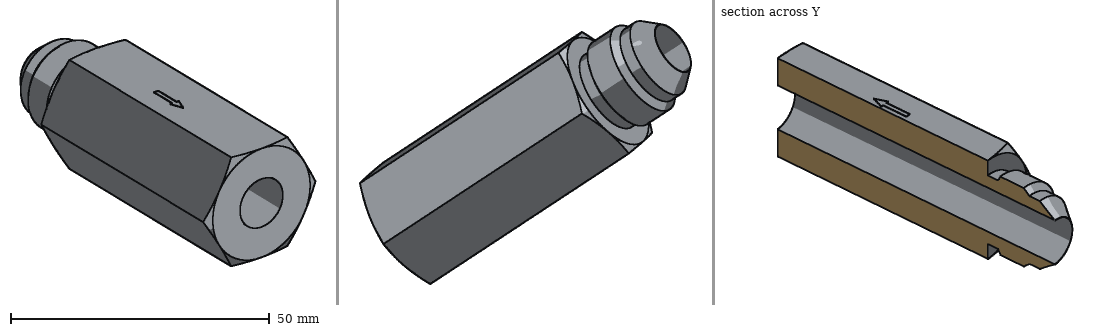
import cadquery as cq
import math

total_length = 69.09
across_flats = 23.8
nose_length = 16.7
bore_diameter = 10.49

tip_diameter = 10.7
land_diameter = 16.48
collar_diameter = 19.05
neck_diameter = 16.69
cone_length = 3.77
land_end = 6.35
collar_start = 7.75
collar_end = 13.6
neck_start = 14.25

chamfer_angle = 20.0

arrow_tail = 37.9
arrow_head_base = 43.7
arrow_point = 46.5
arrow_center_y = -1.58
arrow_shaft_width = 1.04
arrow_head_width = 2.1
arrow_depth = 0.1

across_corners = across_flats / math.cos(math.radians(30))
tip_x = -total_length / 2
end_x = total_length / 2
hex_start_x = tip_x + nose_length


def revolve_about_x(points):
    """Turn a profile of (x, radius) points about the X axis."""
    return cq.Workplane("XY").polyline(points).close().revolve(360, (0, 0, 0), (1, 0, 0))


def make_nose():
    profile = [
        (tip_x, 0),
        (tip_x, tip_diameter / 2),
        (tip_x + cone_length, land_diameter / 2),
        (tip_x + land_end, land_diameter / 2),
        (tip_x + collar_start, collar_diameter / 2),
        (tip_x + collar_end, collar_diameter / 2),
        (tip_x + neck_start, neck_diameter / 2),
        (hex_start_x, neck_diameter / 2),
        (hex_start_x, 0),
    ]
    return revolve_about_x(profile)


def make_barrel():
    """Hexagonal prism with its corners turned to a cone at both ends."""
    hexagon = (
        cq.Workplane("YZ", origin=(hex_start_x, 0, 0))
        .polygon(6, across_corners)
        .extrude(total_length - nose_length)
    )
    face_radius = across_flats / 2
    corner_radius = across_corners / 2
    chamfer_length = (corner_radius - face_radius) * math.tan(math.radians(chamfer_angle))
    envelope = revolve_about_x([
        (hex_start_x, 0),
        (hex_start_x, face_radius),
        (hex_start_x + chamfer_length, corner_radius),
        (end_x - chamfer_length, corner_radius),
        (end_x, face_radius),
        (end_x, 0),
    ])
    return hexagon.intersect(envelope)


def make_bore():
    return cq.Workplane("YZ", origin=(tip_x, 0, 0)).circle(bore_diameter / 2).extrude(total_length)


def make_arrow():
    shaft = arrow_shaft_width / 2
    head = arrow_head_width / 2
    outline = [
        (arrow_tail, -shaft),
        (arrow_head_base, -shaft),
        (arrow_head_base, -head),
        (arrow_point, 0),
        (arrow_head_base, head),
        (arrow_head_base, shaft),
        (arrow_tail, shaft),
    ]
    return (
        cq.Workplane("XY", origin=(tip_x, arrow_center_y, across_flats / 2))
        .polyline(outline)
        .close()
        .extrude(-arrow_depth)
    )


result = make_nose().union(make_barrel()).cut(make_bore()).cut(make_arrow())